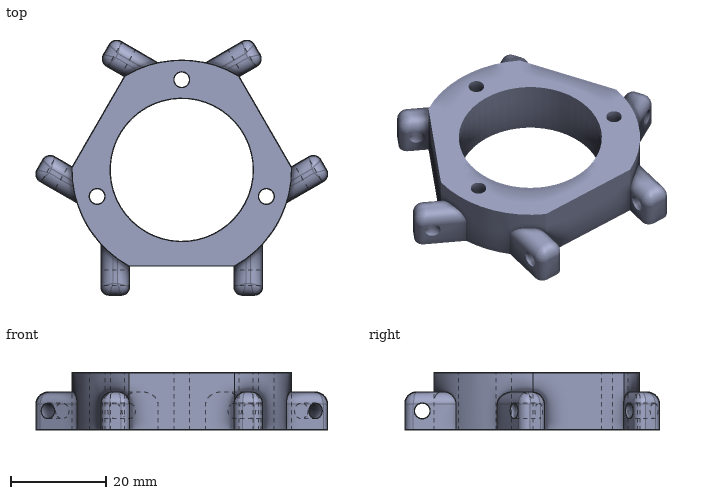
import cadquery as cq
import math

overall_width = 61.35

body_height = 12.0
body_radius = 23.1
bore_radius = 15.05
flat_distance = 20.25
sector_angles = (0, 120, 240)

screw_diameter = 3.25
screw_rear_y = 18.95
screw_side_x = 17.8
screw_side_y = -5.6

leg_width = 6.0
leg_height = 8.0
leg_offset = 14.0
leg_top_fillet = 2.5
leg_tip_fillet = 1.8
leg_hole_diameter = 3.25
leg_hole_z = 4.0
leg_hole_tip_gap = 3.7

tilt = math.radians(30)
corner_offset = leg_offset + leg_width / 2 - leg_tip_fillet
corner_reach = overall_width / 2 - leg_tip_fillet - corner_offset * math.sin(tilt)
leg_tip_distance = corner_reach / math.cos(tilt) + leg_tip_fillet
leg_root_distance = math.sqrt(bore_radius**2 - leg_offset**2)


def make_body():
    """Solid disc with three flats, 120 degrees apart."""
    disc = cq.Workplane("XY").circle(body_radius).extrude(body_height)
    for angle in sector_angles:
        beyond_flat = (
            cq.Workplane("XY")
            .box(2 * body_radius, body_radius, body_height, centered=(True, False, False))
            .translate((0, -flat_distance - body_radius, 0))
            .rotate((0, 0, 0), (0, 0, 1), angle)
        )
        disc = disc.cut(beyond_flat)
    return disc


def make_leg(side):
    """Rounded leg pointing to -Y, with a cross hole along X near its tip."""
    leg_length = leg_tip_distance - leg_root_distance
    hole_y = leg_hole_tip_gap - leg_tip_distance
    leg = (
        cq.Workplane("XY")
        .box(leg_width, leg_length, leg_height, centered=(True, False, False))
        .translate((0, -leg_tip_distance, 0))
    )
    leg = leg.faces(">Z").edges("|Y or <Y").fillet(leg_top_fillet)
    leg = leg.faces("<Y").edges("|Z").fillet(leg_tip_fillet)
    hole = (
        cq.Workplane("YZ")
        .center(hole_y, leg_hole_z)
        .circle(leg_hole_diameter / 2)
        .extrude(leg_width, both=True)
    )
    return leg.cut(hole).translate((side * leg_offset, 0, 0))


result = make_body()
for side in (-1, 1):
    leg = make_leg(side)
    for angle in sector_angles:
        result = result.union(leg.rotate((0, 0, 0), (0, 0, 1), angle))

bore = cq.Workplane("XY").circle(bore_radius).extrude(body_height)
screw_holes = (
    cq.Workplane("XY")
    .pushPoints([(0, screw_rear_y), (-screw_side_x, screw_side_y), (screw_side_x, screw_side_y)])
    .circle(screw_diameter / 2)
    .extrude(body_height)
)
result = result.cut(bore).cut(screw_holes)